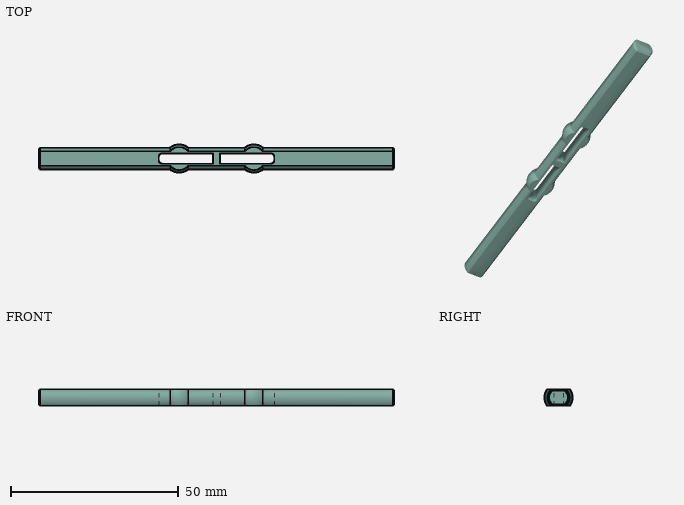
import cadquery as cq

LENGTH = 106.2
BAR_DIAMETER = 6.6
THICKNESS = 5.0
END_CHAMFER = 0.5

BULGE_DIAMETER = 8.5
BULGE_SPACING = 22.3

SLOT_WIDTH = 3.0
SLOTS_OVERALL_LENGTH = 34.4
SLOT_CORNER_RADIUS = 1.0
WEB_WIDTH = 2.2


def flat_slab():
    """Slab that limits every round body to the bar thickness."""
    return cq.Workplane("XY").box(LENGTH, BULGE_DIAMETER, THICKNESS)


def flattened_bar():
    rod = cq.Workplane("YZ").circle(BAR_DIAMETER / 2).extrude(LENGTH / 2, both=True)
    return rod.intersect(flat_slab()).faces("<X or >X").chamfer(END_CHAMFER)


def flattened_bulge(x):
    ball = cq.Workplane("XY").sphere(BULGE_DIAMETER / 2).translate((x, 0, 0))
    return ball.intersect(flat_slab())


def slots():
    """Two slots with rounded outer corners and square corners at the web."""
    opening = cq.Workplane("XY").box(SLOTS_OVERALL_LENGTH, SLOT_WIDTH, THICKNESS)
    opening = opening.edges("|Z").fillet(SLOT_CORNER_RADIUS)
    web = cq.Workplane("XY").box(WEB_WIDTH, SLOT_WIDTH, THICKNESS)
    return opening.cut(web)


result = flattened_bar()
for side in (-1, 1):
    result = result.union(flattened_bulge(side * BULGE_SPACING / 2))
result = result.cut(slots())